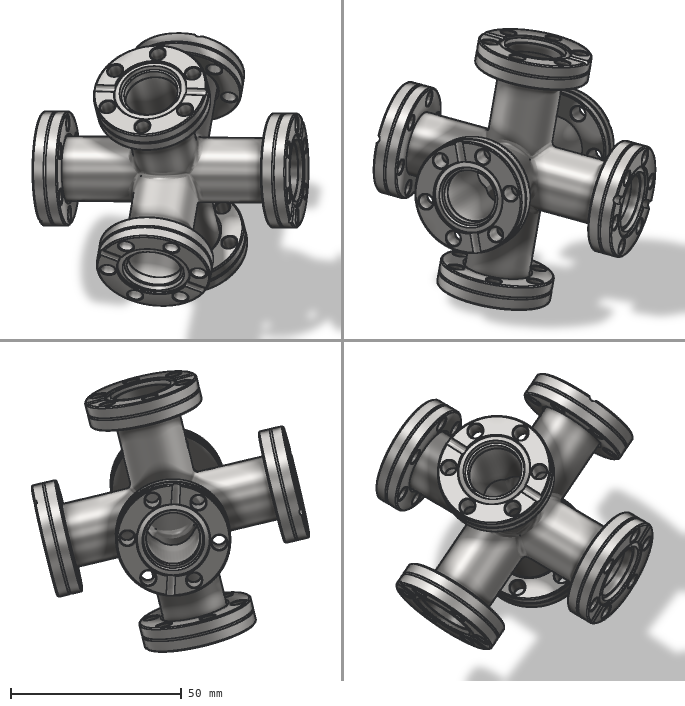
import cadquery as cq
FACE_DISTANCE = 38.0

TUBE_DIAMETER = 19.1
TUBE_BORE_DIAMETER = 15.8
OUTER_BLEND = 1.6
INNER_BLEND = 2.0

FLANGE_DIAMETER = 33.7
FLANGE_THICKNESS = 7.5
FLANGE_CHAMFER = 0.4
FLANGE_BORE_DIAMETER = 16.0
SOCKET_DEPTH = 4.1

RIM_GROOVE_DEPTH = 0.1
RIM_GROOVE_WIDTH = 0.65

FIXED_RECESS_DIAMETER = 21.4
RECESS_DEPTH = 0.8
RECESS_CHAMFER = 0.2
KNIFE_TIP_DIAMETER = 18.3
KNIFE_TIP_DEPTH = 0.25
KNIFE_FLOOR_DIAMETER = 17.5
KNIFE_FLOOR_DEPTH = 1.5

RING_RECESS_DIAMETER = 21.45
RING_HOLE_DIAMETER = 19.4
RING_HOLE_CHAMFER = 0.6
INSERT_DIAMETER = 21.3
INSERT_NECK_DIAMETER = 19.3
SHOULDER_DEPTH = 3.4

BOLT_COUNT = 6
BOLT_CIRCLE_DIAMETER = 27.0
BOLT_HOLE_DIAMETER = 4.4
BOLT_HOLE_CHAMFER = 0.25

LEAK_SLOT_RADIUS = 1.3
LEAK_SLOT_DEPTH = 0.8

TILT_X = 3.4
TILT_Y = -8.7
TILT_Z = 9.7

FIXED_ENDS = [
    (cq.Vector(1, 0, 0), cq.Vector(0, 1, 0), 10.8),
    (cq.Vector(0, -1, 0), cq.Vector(0, 0, 1), 57.5),
    (cq.Vector(0, 0, 1), cq.Vector(1, 0, 0), -2.0),
]
ROTATABLE_ENDS = [
    (cq.Vector(-1, 0, 0), cq.Vector(0, 1, 0), -15.5),
    (cq.Vector(0, 1, 0), cq.Vector(0, 0, 1), 20.0),
    (cq.Vector(0, 0, -1), cq.Vector(1, 0, 0), -16.5),
]


def tilted(body):
    """Turn a body from the square position into the tilted one."""
    origin = (0, 0, 0)
    body = body.rotate(origin, (1, 0, 0), TILT_X)
    body = body.rotate(origin, (0, 1, 0), TILT_Y)
    return body.rotate(origin, (0, 0, 1), TILT_Z)


def placed(body, end):
    """Put a flange body, built with its face on XY and its back at -Z, on one end of the cross."""
    axis, clock_zero, clocking = end
    plane = cq.Plane(axis * FACE_DISTANCE, clock_zero, axis)
    body = body.rotate((0, 0, 0), (0, 0, 1), clocking)
    return tilted(cq.Workplane(body.val().moved(plane.location)))


def three_way_cylinders(diameter, length):
    along_x = cq.Workplane("YZ").circle(diameter / 2).extrude(length / 2, both=True)
    along_y = cq.Workplane("XZ").circle(diameter / 2).extrude(length / 2, both=True)
    along_z = cq.Workplane("XY").circle(diameter / 2).extrude(length / 2, both=True)
    return along_x.union(along_y).union(along_z)


def blended_cylinders(diameter, length, blend):
    return three_way_cylinders(diameter, length).edges("not %CIRCLE").fillet(blend)


def make_cross():
    length = 2 * (FACE_DISTANCE - SOCKET_DEPTH)
    outside = blended_cylinders(TUBE_DIAMETER, length, OUTER_BLEND)
    inside = blended_cylinders(TUBE_BORE_DIAMETER, length, INNER_BLEND)
    return tilted(outside.cut(inside))


def revolved(profile):
    """Turn (diameter, depth below the flange face) points about the flange axis."""
    points = [(diameter / 2, -depth) for diameter, depth in profile]
    return cq.Workplane("XZ").polyline(points).close().revolve(360, (0, 0, 0), (0, 1, 0))


def disc():
    """Flange disc with chamfered edges and a groove round the middle of its rim."""
    blank = (
        cq.Workplane("XY").circle(FLANGE_DIAMETER / 2).extrude(-FLANGE_THICKNESS)
        .edges().chamfer(FLANGE_CHAMFER)
    )
    groove = (
        cq.Workplane("XY", origin=(0, 0, -(FLANGE_THICKNESS + RIM_GROOVE_WIDTH) / 2))
        .circle(FLANGE_DIAMETER / 2)
        .circle(FLANGE_DIAMETER / 2 - RIM_GROOVE_DEPTH)
        .extrude(RIM_GROOVE_WIDTH)
    )
    return blank.cut(groove)


def bolt_holes():
    """Through holes midway between the leak slots, chamfered on both sides."""
    rim_diameter = BOLT_HOLE_DIAMETER + 2 * BOLT_HOLE_CHAMFER
    hole = revolved([
        (0, 0),
        (rim_diameter, 0),
        (BOLT_HOLE_DIAMETER, BOLT_HOLE_CHAMFER),
        (BOLT_HOLE_DIAMETER, FLANGE_THICKNESS - BOLT_HOLE_CHAMFER),
        (rim_diameter, FLANGE_THICKNESS),
        (0, FLANGE_THICKNESS),
    ]).val()
    return (
        cq.Workplane("XY")
        .polarArray(BOLT_CIRCLE_DIAMETER / 2, 180 / BOLT_COUNT, 360, BOLT_COUNT)
        .eachpoint(hole, combine=False)
    )


def leak_slots(recess_diameter):
    """Two round-bottomed slots in line, from the recess out through the rim."""
    height = LEAK_SLOT_RADIUS - LEAK_SLOT_DEPTH
    rod = (
        cq.Workplane("YZ", origin=(0, 0, height))
        .circle(LEAK_SLOT_RADIUS)
        .extrude(FLANGE_DIAMETER / 2, both=True)
    )
    core = cq.Workplane("XY").circle(recess_diameter / 2).extrude(-LEAK_SLOT_DEPTH)
    return rod.cut(core)


def knife_opening(recess_diameter):
    """The gasket recess, the knife edge standing in it and the bore behind it."""
    return revolved([
        (0, 0),
        (recess_diameter + 2 * RECESS_CHAMFER, 0),
        (recess_diameter, RECESS_CHAMFER),
        (recess_diameter, RECESS_DEPTH),
        (KNIFE_TIP_DIAMETER, KNIFE_TIP_DEPTH),
        (KNIFE_FLOOR_DIAMETER, KNIFE_FLOOR_DEPTH),
        (FLANGE_BORE_DIAMETER, KNIFE_FLOOR_DEPTH),
        (FLANGE_BORE_DIAMETER, SOCKET_DEPTH),
        (0, SOCKET_DEPTH),
    ])


def make_fixed_flange():
    """One-piece flange with a socket in its back for the tube."""
    socket = (
        cq.Workplane("XY", origin=(0, 0, -FLANGE_THICKNESS))
        .circle(TUBE_DIAMETER / 2)
        .extrude(FLANGE_THICKNESS - SOCKET_DEPTH)
    )
    return (
        disc().cut(knife_opening(FIXED_RECESS_DIAMETER)).cut(socket)
        .cut(bolt_holes()).cut(leak_slots(FIXED_RECESS_DIAMETER))
    )


def make_ring():
    """Outer ring of a rotatable flange, stepped to hold the insert."""
    hole = revolved([
        (0, 0),
        (RING_RECESS_DIAMETER + 2 * RECESS_CHAMFER, 0),
        (RING_RECESS_DIAMETER, RECESS_CHAMFER),
        (RING_RECESS_DIAMETER, SHOULDER_DEPTH),
        (RING_HOLE_DIAMETER, SHOULDER_DEPTH),
        (RING_HOLE_DIAMETER, FLANGE_THICKNESS - RING_HOLE_CHAMFER),
        (RING_HOLE_DIAMETER + 2 * RING_HOLE_CHAMFER, FLANGE_THICKNESS),
        (0, FLANGE_THICKNESS),
    ])
    return disc().cut(hole).cut(bolt_holes()).cut(leak_slots(RING_RECESS_DIAMETER))


def make_insert():
    """Knife-edged insert of a rotatable flange, standing on the end of the tube."""
    blank = revolved([
        (0, KNIFE_TIP_DEPTH),
        (INSERT_DIAMETER, KNIFE_TIP_DEPTH),
        (INSERT_DIAMETER, SHOULDER_DEPTH),
        (INSERT_NECK_DIAMETER, SHOULDER_DEPTH),
        (INSERT_NECK_DIAMETER, SOCKET_DEPTH),
        (0, SOCKET_DEPTH),
    ])
    return blank.cut(knife_opening(INSERT_DIAMETER))


cross = make_cross()
fixed_flanges = [placed(make_fixed_flange(), end) for end in FIXED_ENDS]
rings = [placed(make_ring(), end) for end in ROTATABLE_ENDS]
inserts = [placed(make_insert(), end) for end in ROTATABLE_ENDS]

bodies = [cross] + fixed_flanges + rings + inserts
result = cq.Compound.makeCompound([body.val() for body in bodies])